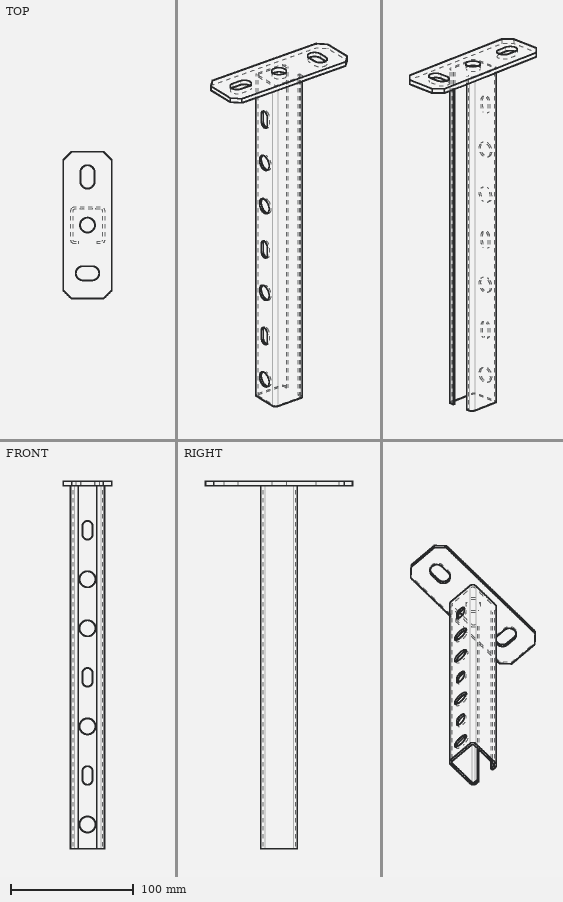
import cadquery as cq

total_height = 300.0

plate_width = 40.0
plate_length = 120.0
plate_thickness = 4.0
corner_chamfer = 7.0
bolt_hole_diameter = 12.0
bolt_slot_length = 19.0
bolt_slot_width = 11.5
bolt_slot_offset = 39.3

channel_height = total_height - plate_thickness
channel_width = 28.0
channel_depth = 30.0
wall_thickness = 1.8
bend_radius = 3.3
opening_width = 15.3

perforation_pitch = plate_length / 3
web_hole_diameter = 13.0
web_slot_width = 8.0
web_slot_length = 15.0
web_pattern = ["slot", "hole", "hole", "slot", "hole", "slot", "hole"]


def make_plate():
    """Flat plate with chamfered corners, a centre hole and two crossed slots."""
    plate = (
        cq.Workplane("XY")
        .workplane(offset=channel_height)
        .rect(plate_width, plate_length)
        .extrude(plate_thickness)
        .edges("|Z")
        .chamfer(corner_chamfer)
    )
    plate = plate.faces(">Z").workplane(origin=(0, 0, total_height)).hole(bolt_hole_diameter)
    for slot_y, slot_angle in [(bolt_slot_offset, 90), (-bolt_slot_offset, 0)]:
        plate = (
            plate.faces(">Z")
            .workplane(origin=(0, slot_y, total_height))
            .slot2D(bolt_slot_length, bolt_slot_width, slot_angle)
            .cutThruAll()
        )
    return plate


def rounded_bar(width, depth, radius):
    """Full-height bar with rounded vertical edges."""
    return cq.Workplane("XY").rect(width, depth).extrude(channel_height).edges("|Z").fillet(radius)


def web_perforations():
    """Cutters for the slots and holes through the web at +Y."""
    cutters = []
    for row, shape in enumerate(web_pattern, start=1):
        height = total_height - row * perforation_pitch
        sketch = cq.Workplane("XZ", origin=(0, 0, height))
        if shape == "slot":
            sketch = sketch.slot2D(web_slot_length, web_slot_width, 90)
        else:
            sketch = sketch.circle(web_hole_diameter / 2)
        cutters.append(sketch.extrude(-channel_depth))
    return cutters


def make_channel():
    """Bent sheet channel with two lips beside the opening and a perforated web."""
    outer = rounded_bar(channel_width, channel_depth, bend_radius)
    inner = rounded_bar(
        channel_width - 2 * wall_thickness,
        channel_depth - 2 * wall_thickness,
        bend_radius - wall_thickness,
    )
    opening = (
        cq.Workplane("XY")
        .center(0, -channel_depth / 2)
        .rect(opening_width, channel_depth)
        .extrude(channel_height)
    )
    channel = outer.cut(inner).cut(opening)
    for cutter in web_perforations():
        channel = channel.cut(cutter)
    return channel


head_plate = make_plate()
channel = make_channel()
result = cq.Compound.makeCompound([head_plate.val(), channel.val()])